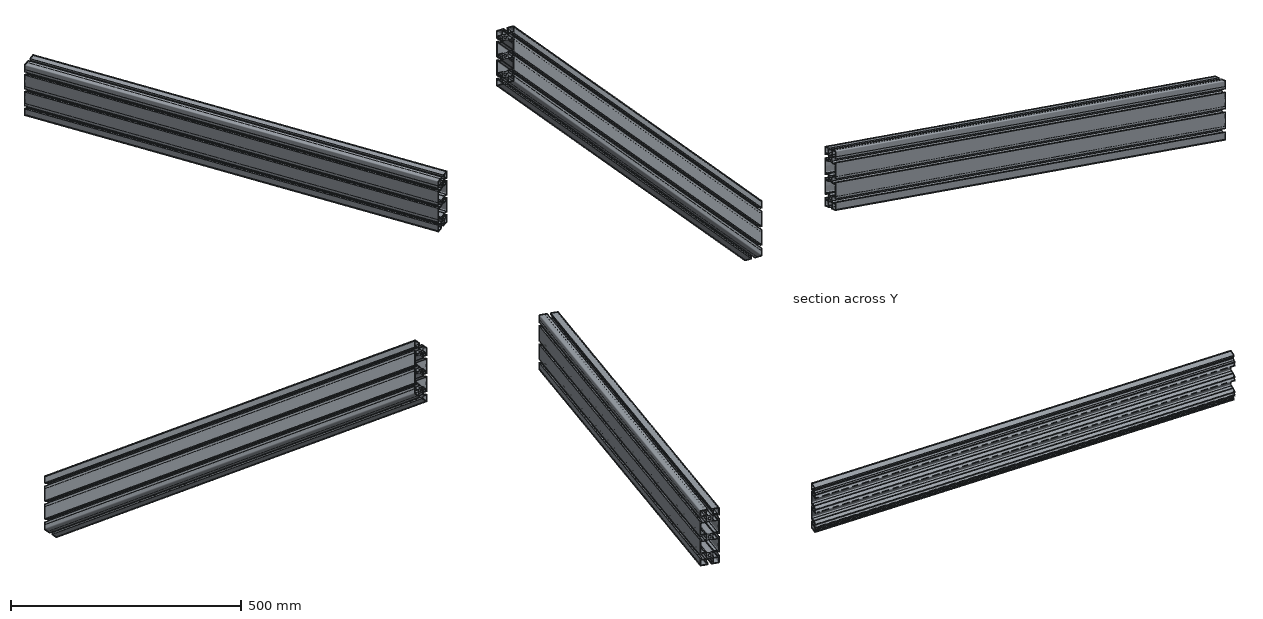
import cadquery as cq
import math

length = 1000.0
module = 45.0
module_count = 3
corner_radius = 2.5

slot_opening = 8.3
lip_thickness = 4.3
pocket_half_width = 7.6
floor_distance = 7.1
rib_thickness = 4.3

wide_wall = 2.2
wide_offset = 8.85
wide_radius = 0.7
wall_ridge = 0.65
trough_half_width = 8.0
trough_depth = 2.1

corner_wall = 1.8
corner_offset = 8.8
corner_chamber_radius = 0.8

core_hole_diameter = 6.78

half_width = module / 2
height = module * module_count
diagonal_shift = rib_thickness / math.sqrt(2)
shoulder_distance = pocket_half_width + diagonal_shift
floor_half_width = floor_distance - diagonal_shift
module_centers = [(i - (module_count - 1) / 2) * module for i in range(module_count)]


def section():
    """Workplane of the cross-section: local x is Y, local y is Z."""
    return cq.Workplane("YZ")


def bar(sketch):
    """Extrude a cross-section over the whole length, centred on the origin."""
    return sketch.extrude(length / 2, both=True)


def outer_body():
    """Solid bar with rounded long edges."""
    return bar(section().rect(module, height)).edges("|X").fillet(corner_radius)


def slot_cutter(center_z, angle):
    """T-slot opening towards +Y, turned about the module axis by the given angle."""
    lip_inner = half_width - lip_thickness
    half_outline = [
        (half_width, slot_opening / 2),
        (lip_inner, slot_opening / 2),
        (lip_inner, pocket_half_width),
        (shoulder_distance, pocket_half_width),
        (floor_distance, floor_half_width),
    ]
    mirrored = [(y, -z) for y, z in reversed(half_outline)]
    cutter = bar(section().polyline(half_outline + mirrored).close())
    return cutter.rotate((0, 0, 0), (1, 0, 0), angle).translate((0, 0, center_z))


def cut_slots(body):
    """Slots on both sides of every module and on the two narrow faces."""
    for center_z in module_centers:
        for angle in (0, 180):
            body = body.cut(slot_cutter(center_z, angle))
    body = body.cut(slot_cutter(module_centers[-1], 90))
    return body.cut(slot_cutter(module_centers[0], -90))


def wide_chamber():
    """Chamber with slightly ridged side walls and a shallow trough in floor and ceiling."""
    half_y = half_width - wide_wall
    half_z = half_width - wide_offset
    crown_y = half_y - wall_ridge
    trough_z = half_z + trough_depth
    outline = (
        section()
        .moveTo(half_y, -half_z)
        .lineTo(crown_y, 0)
        .lineTo(half_y, half_z)
        .lineTo(trough_half_width, half_z)
        .threePointArc((0, trough_z), (-trough_half_width, half_z))
        .lineTo(-half_y, half_z)
        .lineTo(-crown_y, 0)
        .lineTo(-half_y, -half_z)
        .lineTo(-trough_half_width, -half_z)
        .threePointArc((0, -trough_z), (trough_half_width, -half_z))
        .close()
    )
    return bar(outline).edges("|X").edges("<Y or >Y").fillet(wide_radius)


def cut_wide_chambers(body):
    """One wide chamber between each pair of neighbouring modules."""
    chamber = wide_chamber()
    for lower, upper in zip(module_centers, module_centers[1:]):
        body = body.cut(chamber.translate((0, 0, (lower + upper) / 2)))
    return body


def cut_corner_chambers(body):
    """A square chamber with rounded corners in each of the four corners."""
    side = half_width - corner_wall - corner_offset
    inset = corner_wall + side / 2
    corners = section().rect(module - 2 * inset, height - 2 * inset, forConstruction=True).vertices()
    chambers = bar(corners.rect(side, side)).edges("|X").fillet(corner_chamber_radius)
    return body.cut(chambers)


def cut_core_holes(body):
    """A round hole along the axis of every module."""
    holes = section().pushPoints([(0, z) for z in module_centers]).circle(core_hole_diameter / 2)
    return body.cut(bar(holes))


result = outer_body()
result = cut_slots(result)
result = cut_wide_chambers(result)
result = cut_corner_chambers(result)
result = cut_core_holes(result).solids()